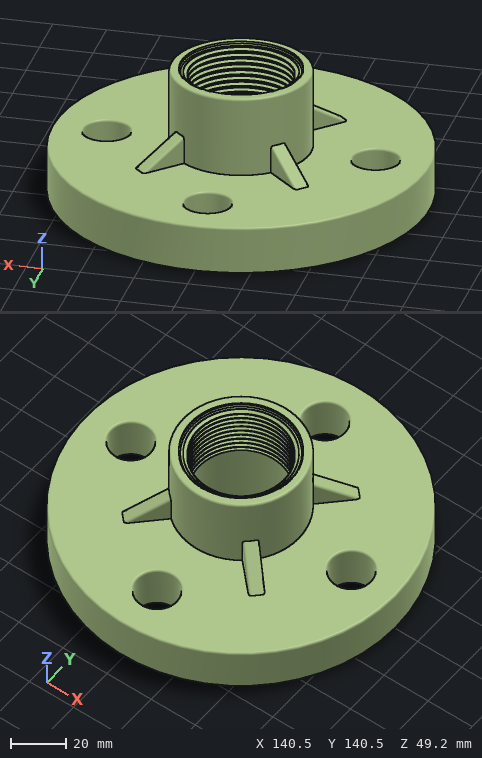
import cadquery as cq
total_height = 49.2
face_height = 0.7
flange_thickness = 18.0
flange_top = face_height + flange_thickness

flange_diameter = 140.5
face_diameter = 54.7
hub_diameter = 52.1
bore_diameter = 37.8

edge_radius = 1.0

bolt_count = 4
bolt_diameter = 17.5
bolt_circle_diameter = 100.0

rib_count = 4
rib_first_angle = 45.0
rib_width = 6.0
rib_height = 10.5
rib_outer_radius = 43.0
rib_overlap = 1.4
rib_root_radius = hub_diameter / 2 - rib_overlap

mouth_diameter = 45.0
mouth_floor_diameter = 43.8
mouth_wall_depth = 0.8
mouth_depth = 1.4
thread_major_diameter = 41.9
thread_minor_diameter = 38.9
thread_length = 20.8
thread_turns = 9
thread_pitch = thread_length / thread_turns
thread_flat = 0.4


def make_body():
    """Flange, hub and raised sealing face as plain discs."""
    flange = (
        cq.Workplane("XY", origin=(0, 0, face_height))
        .circle(flange_diameter / 2)
        .extrude(flange_thickness)
        .faces(">Z")
        .fillet(edge_radius)
    )
    hub = (
        cq.Workplane("XY", origin=(0, 0, face_height))
        .circle(hub_diameter / 2)
        .extrude(total_height - face_height)
        .faces(">Z")
        .fillet(edge_radius)
    )
    sealing_face = cq.Workplane("XY").circle(face_diameter / 2).extrude(face_height)
    return flange.union(hub).union(sealing_face)


def make_rib():
    """Triangular rib along +X with both edges of its sloping top rounded."""
    slope = rib_height / (rib_outer_radius - hub_diameter / 2)
    root_height = slope * (rib_outer_radius - rib_root_radius)
    rib = (
        cq.Workplane("XZ", origin=(0, rib_width / 2, flange_top))
        .moveTo(rib_root_radius, 0)
        .lineTo(rib_outer_radius, 0)
        .lineTo(rib_root_radius, root_height)
        .close()
        .extrude(rib_width)
    )
    top_direction = cq.Vector(slope, 0, 1)
    top_edges = rib.faces(cq.selectors.DirectionMinMaxSelector(top_direction, True)).edges("not |Y")
    return top_edges.fillet(edge_radius)


def make_bore():
    """Through bore with a stepped mouth and ring-shaped threads ending on a ledge."""
    bore_radius = bore_diameter / 2
    major_radius = thread_major_diameter / 2
    minor_radius = thread_minor_diameter / 2
    thread_start = total_height - mouth_depth
    profile = (
        cq.Workplane("XZ")
        .lineTo(0, total_height)
        .lineTo(mouth_diameter / 2, total_height)
        .lineTo(mouth_diameter / 2, total_height - mouth_wall_depth)
        .lineTo(mouth_floor_diameter / 2, thread_start)
        .lineTo(major_radius, thread_start)
    )
    for turn in range(thread_turns):
        root_z = thread_start - turn * thread_pitch
        crest_z = root_z - thread_pitch / 2
        next_root_z = root_z - thread_pitch
        profile = (
            profile.lineTo(major_radius, root_z - thread_flat / 2)
            .lineTo(minor_radius, crest_z + thread_flat / 2)
            .lineTo(minor_radius, crest_z - thread_flat / 2)
            .lineTo(major_radius, next_root_z + thread_flat / 2)
        )
    thread_end = thread_start - thread_length
    profile = profile.lineTo(major_radius, thread_end).lineTo(bore_radius, thread_end)
    return profile.lineTo(bore_radius, 0).close().revolve(360, (0, 0, 0), (0, 1, 0))


def make_bolt_hole():
    """Bolt hole on +X with a rounded rim at the top of the flange."""
    radius = bolt_diameter / 2
    return (
        cq.Workplane("XZ", origin=(bolt_circle_diameter / 2, 0, 0))
        .lineTo(radius, 0)
        .lineTo(radius, flange_top - edge_radius)
        .radiusArc((radius + edge_radius, flange_top), edge_radius)
        .lineTo(0, flange_top)
        .close()
        .revolve(360, (0, 0, 0), (0, 1, 0))
    )


def rotated(shape, angle):
    return shape.rotate((0, 0, 0), (0, 0, 1), angle)


result = make_body()
rib = make_rib()
for index in range(rib_count):
    result = result.union(rotated(rib, rib_first_angle + index * 360 / rib_count))

result = result.cut(make_bore())
bolt_hole = make_bolt_hole()
for index in range(bolt_count):
    result = result.cut(rotated(bolt_hole, index * 360 / bolt_count))